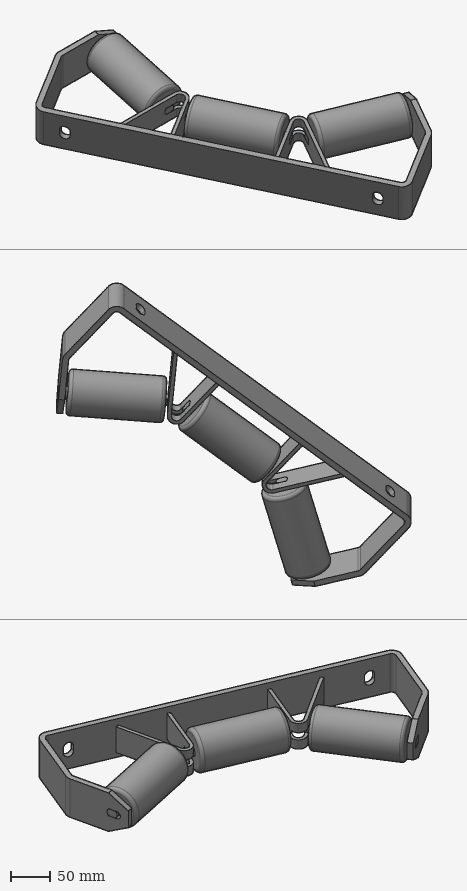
import cadquery as cq
import math

frame_length = 500.0
strip_height = 60.0
frame_thickness = 8.0
frame_bend_radius = 14.0
corner_middle = 225
frame_bend_inner = frame_bend_radius - frame_thickness
arm_bend_y = 100.0
arm_length = 88.5
arm_tip_taper = 30.0
arm_tip_height = 26.0
frame_slot_x = 208.0
frame_slot_length = 22.0
frame_slot_width = 14.0

bracket_height = 40.0
bracket_thickness = 5.0
bracket_bend_radius = 12.0
bracket_bend_inner = bracket_bend_radius - bracket_thickness
bracket_face_x = 67.0
bracket_bend_x = -(bracket_face_x + bracket_bend_radius)
bracket_bend_y = 82.0

roller_diameter = 60.0
roller_length = 125.0
roller_fillet = 5.0
shaft_diameter = 15.0
shaft_across_flats = 11.0
shaft_shoulder = 2.5
centre_shaft_drop = 11.0
side_shaft_drop = 11.5
arm_slot_rise = 12.5
bracket_slot_rise = side_shaft_drop + bracket_bend_radius + shaft_diameter

tilt = 35.0
outward = cq.Vector(-math.cos(math.radians(tilt)), math.sin(math.radians(tilt)), 0)
along = cq.Vector(math.sin(math.radians(tilt)), math.cos(math.radians(tilt)), 0)

arm_bend = cq.Vector(frame_bend_radius - frame_length / 2, arm_bend_y, 0)
bracket_bend = cq.Vector(bracket_bend_x, bracket_bend_y, 0)

centre_roller_y = bracket_bend_y - centre_shaft_drop
centre_gap = bracket_face_x - roller_length / 2
bracket_shaft_point = bracket_bend + outward * bracket_bend_radius - along * side_shaft_drop
arm_inner_distance = (arm_bend - bracket_shaft_point).dot(outward) + frame_bend_inner
side_gap = (arm_inner_distance - roller_length) / 2
side_roller_centre = bracket_shaft_point + outward * (arm_inner_distance / 2)


def on_bend(centre, radius, degrees):
    """Point on a bend, at an angle from +X."""
    angle = math.radians(degrees)
    return centre + cq.Vector(radius * math.cos(angle), radius * math.sin(angle), 0)


def xy(point):
    """Coordinates of a point in the XY plane."""
    return point.x, point.y


def flatted_bar(plane, length):
    """Round shaft with flats above and below, extruded from its plane; the flats run along the plane's x."""
    profile = cq.Workplane(plane)
    flats = profile.rect(shaft_diameter, shaft_across_flats).extrude(length)
    return profile.circle(shaft_diameter / 2).extrude(length).intersect(flats)


def shaft_slot(axis_point, direction, upward, rise, depth):
    """Cutter for a shaft slot: a seat that fits the flatted shaft, and a round-ended slot above it.

    axis_point lies on the face where the slot starts, direction is that face's outward normal,
    and rise is how far the slot reaches from the shaft axis.
    """
    plane = cq.Plane(origin=axis_point.toTuple(), xDir=upward.toTuple(), normal=direction.toTuple())
    entry_length = rise + shaft_across_flats / 2
    entry = (
        cq.Workplane(plane)
        .center((rise - shaft_across_flats / 2) / 2, 0)
        .slot2D(entry_length, shaft_across_flats)
        .extrude(-depth)
    )
    return flatted_bar(plane, -depth).union(entry)


def mirrored(body):
    """Right-hand twin of a left-hand body."""
    return body.mirror("YZ")


def half_frame():
    """Left half of the frame."""
    side_x = -frame_length / 2
    corner = cq.Vector(side_x + frame_bend_radius, frame_bend_radius, 0)
    arm_start = arm_bend + outward * frame_bend_radius
    arm_tip = arm_start + along * arm_length
    middle_of_turn = 180 - tilt / 2
    strip = (
        cq.Workplane("XY")
        .workplane(offset=-strip_height / 2)
        .moveTo(0, 0)
        .lineTo(corner.x, 0)
        .threePointArc(xy(on_bend(corner, frame_bend_radius, corner_middle)), (side_x, corner.y))
        .lineTo(side_x, arm_bend_y)
        .threePointArc(xy(on_bend(arm_bend, frame_bend_radius, middle_of_turn)), xy(arm_start))
        .lineTo(*xy(arm_tip))
        .lineTo(*xy(arm_tip - outward * frame_thickness))
        .lineTo(*xy(arm_bend + outward * frame_bend_inner))
        .threePointArc(
            xy(on_bend(arm_bend, frame_bend_inner, middle_of_turn)),
            (side_x + frame_thickness, arm_bend_y),
        )
        .lineTo(side_x + frame_thickness, corner.y)
        .threePointArc(xy(on_bend(corner, frame_bend_inner, corner_middle)), (corner.x, frame_thickness))
        .lineTo(0, frame_thickness)
        .close()
        .extrude(strip_height)
    )

    tip_face = cq.Plane(origin=arm_tip.toTuple(), xDir=along.toTuple(), normal=outward.toTuple())
    for side in (-1, 1):
        corner_cut = (
            cq.Workplane(tip_face)
            .moveTo(-arm_tip_taper, side * strip_height / 2)
            .lineTo(0, side * strip_height / 2)
            .lineTo(0, side * arm_tip_height / 2)
            .close()
            .extrude(2 * frame_thickness, both=True)
        )
        strip = strip.cut(corner_cut)

    axis_point = bracket_shaft_point + outward * (arm_inner_distance + frame_thickness)
    strip = strip.cut(shaft_slot(axis_point, outward, along, arm_slot_rise, frame_thickness))

    mounting_slot = (
        cq.Workplane("XZ")
        .center(-frame_slot_x, 0)
        .slot2D(frame_slot_length, frame_slot_width, 90)
        .extrude(-frame_thickness)
    )
    return strip.cut(mounting_slot)


def make_frame():
    """Whole frame, as one solid."""
    left = half_frame()
    return left.union(mirrored(left))


def make_left_bracket():
    """Hairpin bracket standing on the frame's back wall."""
    floor_y = frame_thickness
    inner_start = bracket_bend + outward * bracket_bend_inner
    leg_length = (inner_start.y - floor_y) / along.y
    inner_foot = inner_start - along * leg_length
    middle_of_turn = 90 - tilt / 2
    strip = (
        cq.Workplane("XY")
        .workplane(offset=-bracket_height / 2)
        .moveTo(-bracket_face_x, floor_y)
        .lineTo(-bracket_face_x, bracket_bend_y)
        .threePointArc(
            xy(on_bend(bracket_bend, bracket_bend_radius, middle_of_turn)),
            xy(bracket_bend + outward * bracket_bend_radius),
        )
        .lineTo(*xy(inner_foot + outward * bracket_thickness))
        .lineTo(*xy(inner_foot))
        .lineTo(*xy(inner_start))
        .threePointArc(
            xy(on_bend(bracket_bend, bracket_bend_inner, middle_of_turn)),
            (-bracket_face_x - bracket_thickness, bracket_bend_y),
        )
        .lineTo(-bracket_face_x - bracket_thickness, floor_y)
        .close()
        .extrude(bracket_height)
    )

    depth = bracket_bend_radius
    centre_axis_point = cq.Vector(-bracket_face_x, centre_roller_y, 0)
    toward_centre = cq.Vector(1, 0, 0)
    upright = cq.Vector(0, 1, 0)
    strip = strip.cut(shaft_slot(centre_axis_point, toward_centre, upright, bracket_slot_rise, depth))
    return strip.cut(shaft_slot(bracket_shaft_point, outward, along, bracket_slot_rise, depth))


def make_roller(left_reach, right_reach):
    """Roller along X, centred on the origin; its shaft reaches past each end by the given lengths."""
    half_length = roller_length / 2
    roller = (
        cq.Workplane("YZ", origin=(-half_length, 0, 0))
        .circle(roller_diameter / 2)
        .extrude(roller_length)
        .faces("<X or >X")
        .edges()
        .fillet(roller_fillet)
    )
    for side, reach in ((-1, left_reach), (1, right_reach)):
        face = cq.Plane(origin=(side * half_length, 0, 0), xDir=(0, 1, 0), normal=(side, 0, 0))
        shoulder = cq.Workplane(face).circle(shaft_diameter / 2).extrude(shaft_shoulder)
        flat_end = flatted_bar(face, reach)
        roller = roller.union(shoulder).union(flat_end)
    return roller


def make_left_roller():
    """Tilted roller between the left bracket and the left arm."""
    roller = make_roller(side_gap + frame_thickness, side_gap + bracket_thickness)
    return roller.rotate((0, 0, 0), (0, 0, 1), -tilt).translate(side_roller_centre)


def make_centre_roller():
    """Level roller between the two brackets."""
    reach = centre_gap + bracket_thickness
    return make_roller(reach, reach).translate((0, centre_roller_y, 0))


bodies = [make_frame().val(), make_centre_roller().val()]
for left_body in (make_left_bracket(), make_left_roller()):
    bodies += [left_body.val(), mirrored(left_body).val()]

result = cq.Compound.makeCompound(bodies)